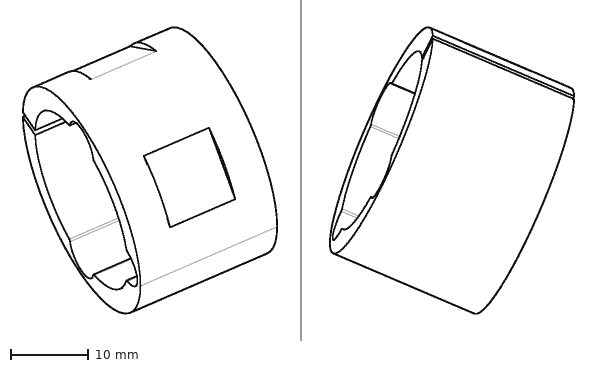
import cadquery as cq
import math

outer_radius = 15.88
bore_radius = 12.5
length = 20.13
slit_width = 1.02

groove_radius = 3.15
groove_reach = 15.02
groove_angles = (0, 90, 270)
groove_edge_radius = 0.32

flat_chord = 10.0
flat_length = 9.6
flat_angles = (45, 135)


def cylinder_along_y(radius, x=0, z=0):
    workplane = cq.Workplane("XZ", origin=(0, length / 2, 0))
    return workplane.center(x, z).circle(radius).extrude(length)


def turned_about_axis(shape, angle):
    """Turn a shape from +X towards +Z about the ring axis."""
    return shape.rotate((0, 0, 0), (0, 1, 0), -angle)


def make_grooved_ring():
    ring = cylinder_along_y(outer_radius).cut(cylinder_along_y(bore_radius))
    groove_offset = groove_reach - groove_radius
    for angle in groove_angles:
        ring = ring.cut(turned_about_axis(cylinder_along_y(groove_radius, groove_offset), angle))

    edge_x = (bore_radius**2 + groove_offset**2 - groove_radius**2) / (2 * groove_offset)
    half_angle = math.degrees(math.acos(edge_x / bore_radius))
    for angle in groove_angles:
        for side in (-half_angle, half_angle):
            direction = math.radians(angle + side)
            edge_point = (bore_radius * math.cos(direction), 0, bore_radius * math.sin(direction))
            edge = ring.edges("|Y").edges(cq.NearestToPointSelector(edge_point))
            ring = edge.fillet(groove_edge_radius)
    return ring


def make_slit():
    return cq.Workplane("XY").box(outer_radius, length, slit_width).translate((-outer_radius, 0, 0))


def make_flat_cutter(angle):
    flat_distance = math.sqrt(outer_radius**2 - (flat_chord / 2) ** 2)
    cutter = cq.Workplane("XY").box(
        outer_radius, flat_length, outer_radius, centered=(False, True, True)
    )
    return turned_about_axis(cutter.translate((flat_distance, 0, 0)), angle)


result = make_grooved_ring().cut(make_slit())
for flat_angle in flat_angles:
    result = result.cut(make_flat_cutter(flat_angle))